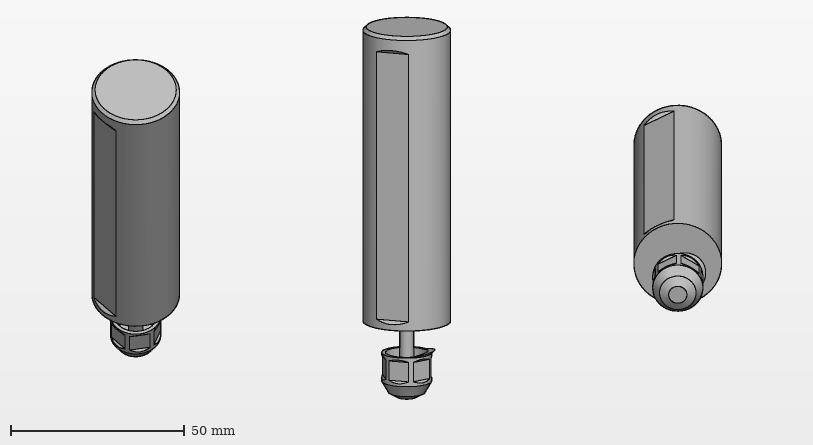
import cadquery as cq

total_height = 110.0

body_diameter = 25.4
body_bottom_z = 22.7
body_chamfer = 1.0
body_flat_depth = 1.0
body_flat_bottom_z = 25.4
body_flat_top_z = 104.8
body_flat_count = 2

cable_diameter = 4.1

nut_radius = 7.3
nut_rim_z = 13.3
nut_bore_radius = 6.2
nut_flat_depth = 0.7
nut_flat_bottom_z = 6.3
nut_flat_top_z = 12.0
nut_flat_count = 6
taper_top_z = 4.8
nut_floor_z = taper_top_z
taper_bottom_z = 1.4
taper_bottom_radius = 5.3
tip_radius = 2.6

lip_height = 1.0
lip_start_x = -3.6
lip_tip_radius = nut_radius + lip_height


def flat_cutter(radius, depth, bottom_z, top_z, angle):
    """Material outside a flat whose two ends run out at 45 degrees."""
    margin = 1.1
    reach = depth + margin
    floor = radius - depth
    outer = radius + margin
    return (
        cq.Workplane("XZ")
        .polyline([
            (floor, bottom_z),
            (outer, bottom_z - reach),
            (outer, top_z + reach),
            (floor, top_z),
        ])
        .close()
        .extrude(radius, both=True)
        .rotate((0, 0, 0), (0, 0, 1), angle)
    )


def cut_flats(solid, count, radius, depth, bottom_z, top_z):
    """Cut equally spaced flats, the first one facing -Y."""
    for index in range(count):
        angle = -90 + index * 360 / count
        solid = solid.cut(flat_cutter(radius, depth, bottom_z, top_z, angle))
    return solid


def make_body():
    body = (
        cq.Workplane("XY", origin=(0, 0, body_bottom_z))
        .circle(body_diameter / 2)
        .extrude(total_height - body_bottom_z)
        .faces(">Z")
        .chamfer(body_chamfer)
    )
    return cut_flats(
        body, body_flat_count, body_diameter / 2, body_flat_depth, body_flat_bottom_z, body_flat_top_z
    )


def make_lip():
    """Sliver of a 45 degree flare, limited above by a plane rising toward -X."""
    flare = (
        cq.Workplane("XZ")
        .polyline([
            (0, nut_rim_z),
            (nut_radius, nut_rim_z),
            (lip_tip_radius, nut_rim_z + lip_height),
            (0, nut_rim_z + lip_height),
        ])
        .close()
        .revolve(360, (0, 0), (0, 1))
    )
    wedge = (
        cq.Workplane("XZ")
        .polyline([
            (lip_start_x, nut_rim_z),
            (-lip_tip_radius, nut_rim_z + lip_height),
            (-lip_tip_radius, nut_rim_z),
        ])
        .close()
        .extrude(lip_tip_radius, both=True)
    )
    return flare.intersect(wedge)


def make_nut():
    nut = (
        cq.Workplane("XZ")
        .polyline([
            (0, 0),
            (tip_radius, 0),
            (taper_bottom_radius, taper_bottom_z),
            (nut_radius, taper_top_z),
            (nut_radius, nut_rim_z),
            (0, nut_rim_z),
        ])
        .close()
        .revolve(360, (0, 0), (0, 1))
    )
    nut = cut_flats(
        nut, nut_flat_count, nut_radius, nut_flat_depth, nut_flat_bottom_z, nut_flat_top_z
    )
    bore = (
        cq.Workplane("XY", origin=(0, 0, nut_floor_z))
        .circle(nut_bore_radius)
        .extrude(body_bottom_z - nut_floor_z)
    )
    return nut.union(make_lip()).cut(bore)


def make_cable():
    return (
        cq.Workplane("XY", origin=(0, 0, nut_floor_z))
        .circle(cable_diameter / 2)
        .extrude(body_bottom_z - nut_floor_z)
    )


result = make_body().union(make_cable()).union(make_nut())